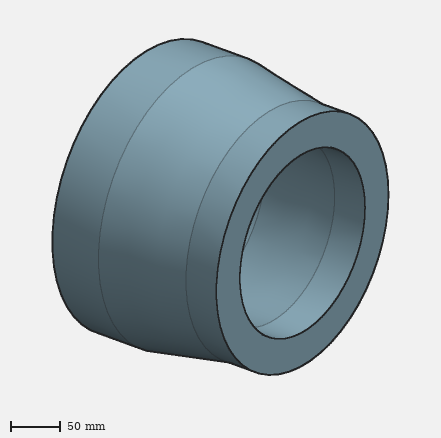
import cadquery as cq

large_outer_diameter = 315.0
large_bore_diameter = 228.8
small_outer_diameter = 280.0
small_bore_diameter = 203.4

large_end_length = 60.0
taper_length = 100.0
small_end_length = 40.0

taper_start = large_end_length
taper_end = taper_start + taper_length
total_length = taper_end + small_end_length


def revolved_profile(large_diameter, small_diameter):
    """Solid with a large cylinder, a cone and a small cylinder in line along X."""
    large_radius = large_diameter / 2
    small_radius = small_diameter / 2
    return (
        cq.Workplane("XY")
        .moveTo(0, 0)
        .lineTo(0, large_radius)
        .lineTo(taper_start, large_radius)
        .lineTo(taper_end, small_radius)
        .lineTo(total_length, small_radius)
        .lineTo(total_length, 0)
        .close()
        .revolve(360, (0, 0, 0), (1, 0, 0))
    )


outer_body = revolved_profile(large_outer_diameter, small_outer_diameter)
bore = revolved_profile(large_bore_diameter, small_bore_diameter)

result = outer_body.cut(bore)